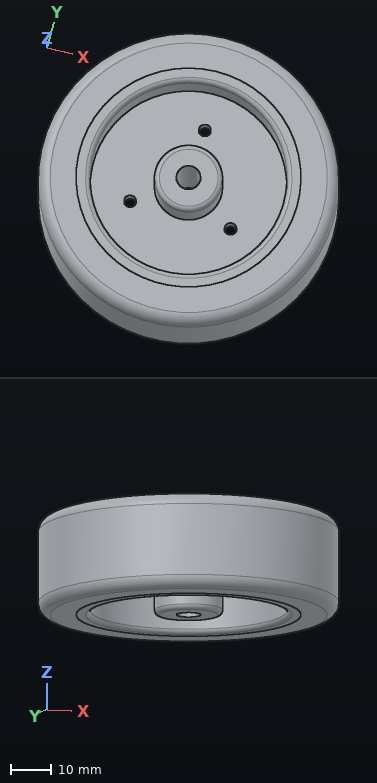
import cadquery as cq

wheel_width = 24.0
tyre_diameter = 75.0
tyre_shoulder_radius = 3.0

rim_outer_diameter = 56.0
rim_inner_diameter = 49.0
boss_diameter = 17.0
pocket_depth = 10.0
edge_radius = 1.2

axle_diameter = 6.0
bolt_diameter = 3.0
bolt_circle_diameter = 30.0
bolt_count = 3
first_bolt_angle = 90.0


def disc(diameter, width):
    """Disc about the Z axis, centred on the XY plane."""
    return cq.Workplane("XY").workplane(offset=-width / 2).circle(diameter / 2).extrude(width)


def make_pocket():
    """Annular pocket in the upper side, between the rim and the boss."""
    return (
        cq.Workplane("XY")
        .workplane(offset=wheel_width / 2 - pocket_depth)
        .circle(rim_inner_diameter / 2)
        .circle(boss_diameter / 2)
        .extrude(pocket_depth)
    )


def make_hub():
    """Rim and boss joined by a thin web, the same on both sides."""
    hub = disc(rim_outer_diameter, wheel_width)
    pocket = make_pocket()
    hub = hub.cut(pocket).cut(pocket.mirror("XY"))

    mouth_radii = (rim_inner_diameter / 2, boss_diameter / 2)
    for end_face in (">Z", "<Z"):
        mouth_edges = hub.faces(end_face).edges().filter(
            lambda edge: any(abs(edge.radius() - radius) < edge_radius for radius in mouth_radii)
        )
        hub = mouth_edges.fillet(edge_radius)

    bolt_holes = (
        cq.Workplane("XY")
        .workplane(offset=-wheel_width / 2)
        .polarArray(bolt_circle_diameter / 2, first_bolt_angle, 360, bolt_count)
        .circle(bolt_diameter / 2)
        .extrude(wheel_width)
    )
    return hub.cut(disc(axle_diameter, wheel_width)).cut(bolt_holes)


def make_tyre():
    """Ring with rounded shoulders that fits around the rim."""
    tyre = disc(tyre_diameter, wheel_width).faces("|Z").edges().fillet(tyre_shoulder_radius)
    return tyre.cut(disc(rim_outer_diameter, wheel_width))


hub = make_hub()
tyre = make_tyre()

result = cq.Compound.makeCompound([hub.solids().val(), tyre.solids().val()])